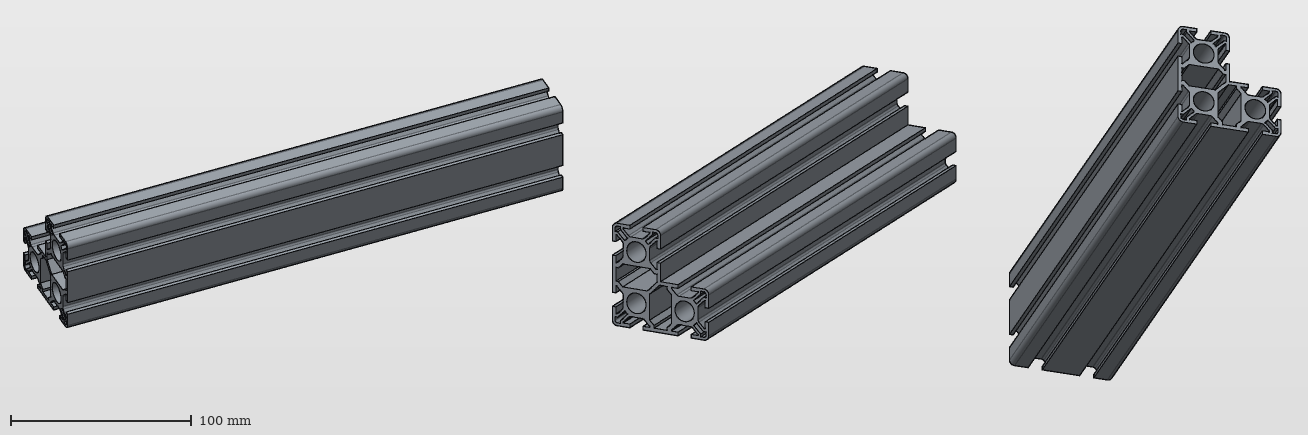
import cadquery as cq
import math

CELL = 30.0
LENGTH = 300.0
HALF_CELL = CELL / 2
CORNER_RADIUS = 3.0

CORE_HALF = 8.3
BORE_DIAMETER = 12.0

LIP_THICKNESS = 2.2
SLOT_OPENING = 8.2
SLOT_INNER_WIDTH = 16.5
SLOT_FLOOR_WIDTH = 8.6
FLOOR_RADIUS = 2.0

WEB_GAP = 2.4
WEB_GAP_START = 9.1
POCKET_INNER = 10.0
POCKET_WALL = 1.7
POCKET_RADIUS = 1.5

END_HALF_WIDTH = 4.0
WEB_OFFSET = 0.2
INNER_WEB_THICKNESS = 2.2

CORNER_MODULE = (HALF_CELL, -HALF_CELL)
SIDE_MODULE = (-HALF_CELL, -HALF_CELL)
UPPER_MODULE = (HALF_CELL, HALF_CELL)

MODULES = [
    (CORNER_MODULE, (0, 270), (315,)),
    (SIDE_MODULE, (90, 180, 270), (135, 225)),
    (UPPER_MODULE, (0, 90, 180), (45, 135)),
]


def prism(points):
    """Closed XZ outline extruded over the full length."""
    return cq.Workplane("XZ").polyline(points).close().extrude(LENGTH / 2, both=True)


def place(solid, centre, angle):
    """Turn a tool made around the origin and move it to a module centre."""
    turned = solid.rotate((0, 0, 0), (0, 1, 0), -angle)
    return turned.translate((centre[0], 0, centre[1]))


def l_body():
    """Two overlapping rounded bars forming an L with a sharp inner corner."""
    lower_bar = cq.Workplane("XY").box(2 * CELL, LENGTH, CELL).edges("|Y").fillet(CORNER_RADIUS)
    upright_bar = cq.Workplane("XY").box(CELL, LENGTH, 2 * CELL).edges("|Y").fillet(CORNER_RADIUS)
    return lower_bar.translate((0, 0, -HALF_CELL)).union(upright_bar.translate((HALF_CELL, 0, 0)))


def t_slot():
    """T-slot opening towards +X."""
    lip_inner = HALF_CELL - LIP_THICKNESS
    shoulder = CORE_HALF + (SLOT_INNER_WIDTH - SLOT_FLOOR_WIDTH) / 2
    upper_side = [
        (HALF_CELL, SLOT_OPENING / 2),
        (lip_inner, SLOT_OPENING / 2),
        (lip_inner, SLOT_INNER_WIDTH / 2),
        (shoulder, SLOT_INNER_WIDTH / 2),
        (CORE_HALF, SLOT_FLOOR_WIDTH / 2),
    ]
    lower_side = [(x, -z) for x, z in reversed(upper_side)]
    return prism(upper_side + lower_side).edges("|Y and <X").fillet(FLOOR_RADIUS)


def corner_channel():
    """Rounded corner pocket and web gap, lying along +X."""
    pocket_outer = HALF_CELL - POCKET_WALL
    pocket_size = pocket_outer - POCKET_INNER
    pocket_centre = (pocket_outer + POCKET_INNER) / 2
    pocket = cq.Workplane("XY").box(pocket_size, LENGTH, pocket_size)
    pocket = pocket.edges("|Y and >X and >Z").fillet(POCKET_RADIUS)
    pocket = pocket.translate((pocket_centre, 0, pocket_centre)).rotate((0, 0, 0), (0, 1, 0), 45)
    gap_length = pocket_centre * math.sqrt(2) - WEB_GAP_START
    gap = cq.Workplane("XY").box(gap_length, LENGTH, WEB_GAP)
    gap = gap.translate((WEB_GAP_START + gap_length / 2, 0, 0))
    return pocket.union(gap)


def side_cavity():
    """Cavity between the side module and the corner module."""
    left = -HALF_CELL + CORE_HALF
    right = HALF_CELL - CORE_HALF
    top = -LIP_THICKNESS
    bottom = -CELL + LIP_THICKNESS
    mid_z = -HALF_CELL
    slope_start = CORE_HALF + WEB_OFFSET
    slope_end = HALF_CELL - END_HALF_WIDTH + WEB_OFFSET
    web_shift = INNER_WEB_THICKNESS / math.sqrt(2)
    return prism([
        (left, mid_z - slope_start),
        (-END_HALF_WIDTH, mid_z - slope_end),
        (-END_HALF_WIDTH, bottom),
        (END_HALF_WIDTH, bottom),
        (END_HALF_WIDTH, mid_z - slope_end),
        (right, mid_z - slope_start),
        (right, -right - web_shift),
        (-top - web_shift, top),
        (-END_HALF_WIDTH, top),
        (-END_HALF_WIDTH, mid_z + slope_end),
        (left, mid_z + slope_start),
    ])


body = l_body()
bore = cq.Workplane("XZ").circle(BORE_DIAMETER / 2).extrude(LENGTH / 2, both=True)
slot = t_slot()
channel = corner_channel()
for centre, slot_angles, corner_angles in MODULES:
    body = body.cut(place(bore, centre, 0))
    for angle in slot_angles:
        body = body.cut(place(slot, centre, angle))
    for angle in corner_angles:
        body = body.cut(place(channel, centre, angle))

cavity = side_cavity()
upper_cavity = cavity.mirror("XY").rotate((0, 0, 0), (0, 1, 0), 90)
body = body.cut(cavity).cut(upper_cavity)

result = body